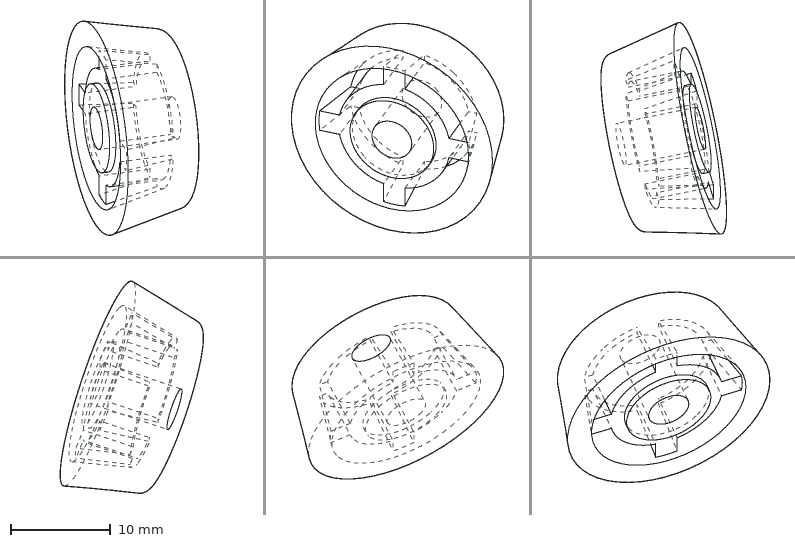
import cadquery as cq
import math

height = 8.2
base_radius = 10.85
wall_angle = 12.9
end_fillet = 1.0
cavity_radius = 8.27
cavity_depth = 6.0
hub_radius = 6.01
boss_radius = 4.51
bore_radius = 2.15
rib_width = 2.3
rib_recess = 0.65

taper = math.tan(math.radians(wall_angle))


def cylinder(radius, start, end):
    """Cylinder along Y between two distances from the open face."""
    plane = cq.Workplane("XZ", origin=(0, start, 0))
    return plane.circle(radius).extrude(start - end)


def cone(radius, length):
    """Cone frustum from the open face, narrowing at the wall angle."""
    end_radius = radius - length * taper
    outline = [(0, 0), (radius, 0), (end_radius, length), (0, length)]
    return cq.Workplane("XY").polyline(outline).close().revolve(360, (0, 0, 0), (0, 1, 0))


body = cone(base_radius, height).faces(">Y").edges().fillet(end_fillet)
cavity = cone(cavity_radius, cavity_depth)

rib_depth = cavity_depth - rib_recess
rib_center = rib_recess + rib_depth / 2
rib_length = 2 * cavity_radius
rib_x = cq.Workplane("XY").box(rib_length, rib_depth, rib_width)
rib_z = cq.Workplane("XY").box(rib_width, rib_depth, rib_length)
ribs = rib_x.union(rib_z).translate((0, rib_center, 0)).intersect(cavity)

hub = cylinder(hub_radius, rib_recess, cavity_depth)
boss = cylinder(boss_radius, 0, cavity_depth)

bore = cylinder(bore_radius, 0, height)

result = body.cut(cavity.cut(ribs).cut(hub).cut(boss)).cut(bore)